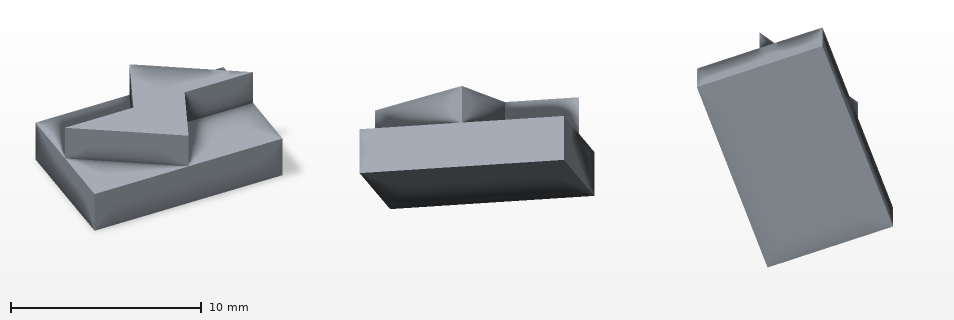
import cadquery as cq

length = 11.0
width = 7.0
height = 4.4

bolt_height = 2.0
base_height = height - bolt_height
notch_offset = 1.5


def make_base():
    """Rectangular block centred on the origin, standing on Z = 0."""
    return cq.Workplane("XY").box(width, length, base_height, centered=(True, True, False))


def make_bolt():
    """Lightning bolt whose tips reach the middle of each side of the base."""
    half_outline = [
        (0, length / 2),
        (0, notch_offset),
        (width / 2, 0),
    ]
    outline = half_outline + [(-x, -y) for x, y in half_outline]
    return (
        cq.Workplane("XY")
        .workplane(offset=base_height)
        .polyline(outline)
        .close()
        .extrude(bolt_height)
    )


result = make_base().union(make_bolt())